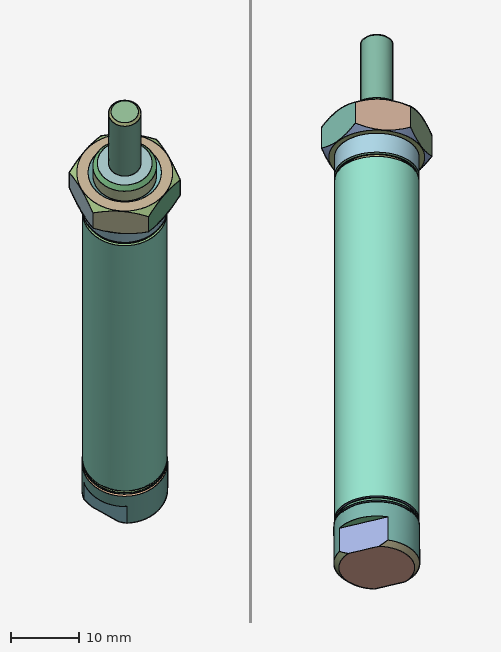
import cadquery as cq
import math

total_length = 93.7
eps = 0.1

rod_diameter = 4.8
rod_chamfer = 0.4

nut_corner_width = 16.4
nut_flat_width = nut_corner_width * math.cos(math.radians(30))
nut_bottom_z = 73.2
nut_height = 5.5
nut_face_margin = 0.05
nut_face_diameter = nut_flat_width - 2 * nut_face_margin
nut_chamfer_angle = 38
nut_countersink_diameter = 10.8

nose_diameter = 9.4
nose_top_z = 81.1
nose_chamfer = 0.7
barrel_diameter = 12.5
cap_diameter = 12.7
rear_chamfer = 0.75

groove_depth = 0.4
front_groove_z = 69.4
front_groove_width = 0.6
front_groove_bevel = 0.2
rear_groove_width = 0.4
rear_groove_z_positions = (7.6, 8.3)

wrench_width = 10.0
wrench_flat_height = 4.9


def cylinder(diameter, bottom_z, top_z):
    return cq.Workplane("XY").workplane(offset=bottom_z).circle(diameter / 2).extrude(top_z - bottom_z)


def make_rod():
    return cylinder(rod_diameter, nut_bottom_z, total_length).faces(">Z").chamfer(rod_chamfer)


def ring_groove(center_z, width):
    bottom_z = center_z - width / 2
    top_z = center_z + width / 2
    outer = cylinder(cap_diameter + 2 * eps, bottom_z, top_z)
    return outer.cut(cylinder(barrel_diameter - 2 * groove_depth, bottom_z, top_z))


def make_housing():
    rear_cap = cylinder(cap_diameter, 0, min(rear_groove_z_positions)).faces("<Z").chamfer(rear_chamfer)
    barrel = cylinder(barrel_diameter, min(rear_groove_z_positions), nut_bottom_z)
    nose = cylinder(nose_diameter, nut_bottom_z, nose_top_z).faces(">Z").chamfer(nose_chamfer)
    housing = rear_cap.union(barrel).union(nose)

    housing = housing.cut(ring_groove(front_groove_z, front_groove_width))
    rim = cq.selectors.BoxSelector(
        (-cap_diameter, -cap_diameter, front_groove_z),
        (cap_diameter, cap_diameter, nut_bottom_z - eps),
    )
    housing = housing.edges(rim).edges("%CIRCLE").edges(
        cq.selectors.RadiusNthSelector(-1)
    ).chamfer(front_groove_bevel)
    for groove_z in rear_groove_z_positions:
        housing = housing.cut(ring_groove(groove_z, rear_groove_width))

    rear_block = cq.Workplane("XY").box(
        2 * cap_diameter, 2 * cap_diameter, wrench_flat_height, centered=(True, True, False)
    )
    wrench_section = cq.Workplane("XY").box(
        2 * cap_diameter, wrench_width, wrench_flat_height, centered=(True, True, False)
    )
    housing = housing.cut(rear_block.cut(wrench_section))

    return housing.cut(cylinder(rod_diameter, nut_bottom_z, nose_top_z + eps))


def make_nut():
    hexagon = (
        cq.Workplane("XY")
        .polygon(6, nut_corner_width)
        .extrude(nut_height)
        .rotate((0, 0, 0), (0, 0, 1), 30)
    )

    face_radius = nut_face_diameter / 2
    rim_radius = nut_corner_width / 2 + eps
    cone_drop = (rim_radius - face_radius) * math.tan(math.radians(nut_chamfer_angle))
    envelope = (
        cq.Workplane("XZ")
        .polyline([
            (0, 0),
            (face_radius, 0),
            (rim_radius, cone_drop),
            (rim_radius, nut_height - cone_drop),
            (face_radius, nut_height),
            (0, nut_height),
        ])
        .close()
        .revolve(360, (0, 0, 0), (0, 1, 0))
    )
    nut = hexagon.intersect(envelope).cut(cylinder(nose_diameter, -eps, nut_height + eps))

    countersink = (nut_countersink_diameter - nose_diameter) / 2
    nut = nut.faces(">Z").edges("%CIRCLE").edges(cq.selectors.RadiusNthSelector(0)).chamfer(countersink)
    return nut.translate((0, 0, nut_bottom_z))


housing = make_housing()
rod = make_rod()
nut = make_nut()
result = cq.Compound.makeCompound([housing.val(), rod.val(), nut.val()])